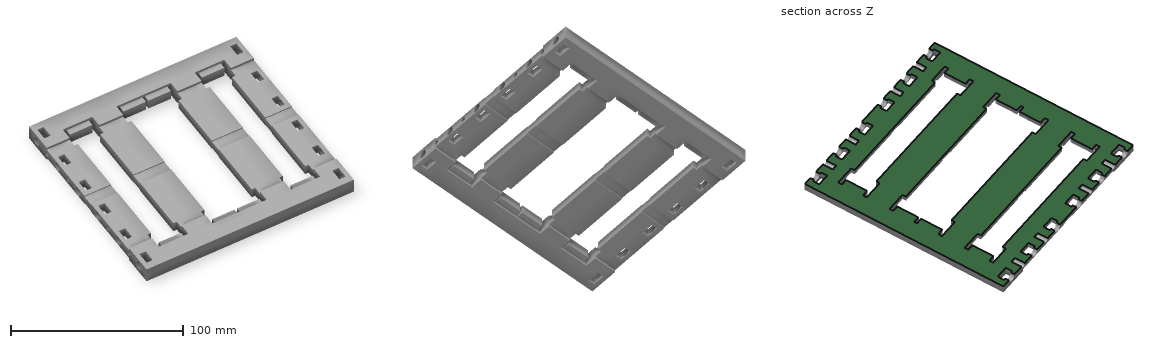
import cadquery as cq

length_x = 133.0
length_y = 140.0
rail_height = 10.0

rail_width = 12.2
pad_edge = 19.9

bar_height = 6.6
bar_full_width_edge = 25.0
bar_shoulder = 2.4
outer_bar_width = 17.9
inner_bar_width = 21.0
outer_gap = 15.1
waist_length = 7.5
waist_height = 5.2

ledge_depth = 4.2
ledge_height = bar_height
ledge_length = outer_gap
middle_ledge_gap = 1.7

slot_length = 8.0
slot_width = 4.2
slot_edge = 2.8
innermost_hole_x = 11.0
outermost_hole_x = 57.8
holes_per_side = 5
large_hole_diameter = 5.5
small_hole_diameter = 3.2
small_hole_depth = slot_edge + slot_width

half_x = length_x / 2
half_y = length_y / 2
opening_half_x = half_x - rail_width
wide_half_x = half_x - bar_full_width_edge
outer_bar_inner_y = half_y - outer_bar_width
inner_bar_outer_y = outer_bar_inner_y - outer_gap
inner_bar_inner_y = inner_bar_outer_y - inner_bar_width


def block(x_range, y_range, height):
    """Box over the given X and Y ranges, centred in height on Z = 0."""
    size_x = x_range[1] - x_range[0]
    size_y = y_range[1] - y_range[0]
    centre = (x_range[0] + size_x / 2, y_range[0] + size_y / 2, 0)
    return cq.Workplane("XY").box(size_x, size_y, height).translate(centre)


def opening(y_low, y_high):
    """Window between two bars, with deeper notches at both ends."""
    centre = block((-wide_half_x, wide_half_x), (y_low, y_high), rail_height)
    notches = [
        block(x_range, (y_low - bar_shoulder, y_high + bar_shoulder), rail_height)
        for x_range in ((-opening_half_x, -wide_half_x), (wide_half_x, opening_half_x))
    ]
    return centre.union(notches[0]).union(notches[1])


def stepped_body():
    """Plate with full-height sides, thinner bars and a waist along the middle."""
    pad_half_x = half_x - pad_edge
    waist_half = waist_length / 2
    body = block((-waist_half, waist_half), (-half_y, half_y), waist_height)
    for side in (-1, 1):
        bar_x = sorted((side * waist_half, side * pad_half_x))
        side_x = sorted((side * pad_half_x, side * half_x))
        body = body.union(block(bar_x, (-half_y, half_y), bar_height))
        body = body.union(block(side_x, (-half_y, half_y), rail_height))
    return body


def add_ledges(body):
    """Thin ledges on both rails, one in each outer window and two in the middle one."""
    middle_start = middle_ledge_gap / 2
    for y_start in (inner_bar_outer_y, middle_start):
        for y_side in (-1, 1):
            y_range = sorted((y_side * y_start, y_side * (y_start + ledge_length)))
            for x_side in (-1, 1):
                x_inner = opening_half_x - ledge_depth
                x_range = sorted((x_side * x_inner, x_side * opening_half_x))
                body = body.union(block(x_range, y_range, ledge_height))
    return body


def end_holes(diameter, depth, x_places):
    """Blind round holes entering both Y ends of the frame at mirrored X places."""
    points = [(side * x, 0) for x in x_places for side in (-1, 1)]
    front = (
        cq.Workplane("XZ", origin=(0, -half_y, 0))
        .pushPoints(points)
        .circle(diameter / 2)
        .extrude(-depth)
    )
    return front.union(front.mirror("XZ"))


def slots(x_places):
    """Rectangular slots through the outer bars, along both Y ends."""
    slot_y = half_y - slot_edge - slot_width / 2
    points = [
        (x_side * x, y_side * slot_y)
        for x in x_places
        for x_side in (-1, 1)
        for y_side in (-1, 1)
    ]
    outlines = cq.Workplane("XY").pushPoints(points).rect(slot_length, slot_width)
    return outlines.extrude(rail_height / 2, both=True)


hole_pitch = (outermost_hole_x - innermost_hole_x) / (holes_per_side - 1)
hole_places = [innermost_hole_x + hole_pitch * step for step in range(holes_per_side)]
large_hole_places = hole_places[0::2]
small_hole_places = hole_places[1::2]

body = stepped_body()
body = body.cut(opening(inner_bar_outer_y, outer_bar_inner_y))
body = body.cut(opening(-outer_bar_inner_y, -inner_bar_outer_y))
body = body.cut(opening(-inner_bar_inner_y, inner_bar_inner_y))
body = add_ledges(body)

body = body.cut(slots(large_hole_places))
body = body.cut(end_holes(large_hole_diameter, slot_edge, large_hole_places))
result = body.cut(end_holes(small_hole_diameter, small_hole_depth, small_hole_places))